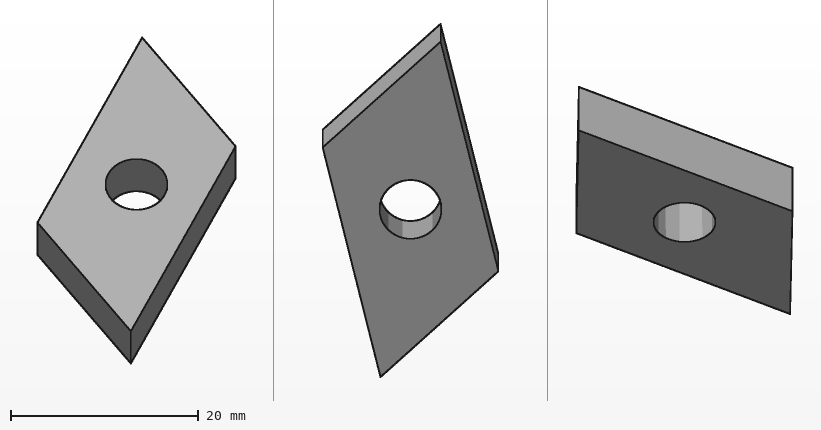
import cadquery as cq
import math

width = 15.0
slanted_spacing = 23.0
slant_angle = 30.0
thickness = 6.0
hole_diameter = 6.6

slant = math.radians(slant_angle)
side_length = slanted_spacing / math.cos(slant)
end_drop = width * math.tan(slant)
half_width = width / 2
half_length = (side_length + end_drop) / 2


def parallelogram_plate():
    """Plate centred on the Z axis, with both ends sloping down towards +X."""
    corners = [
        (-half_width, half_length),
        (half_width, half_length - end_drop),
        (half_width, -half_length),
        (-half_width, -half_length + end_drop),
    ]
    return cq.Workplane("XY").polyline(corners).close().extrude(thickness)


def centre_hole():
    """Cylinder that cuts the through hole at the plate centre."""
    return cq.Workplane("XY").circle(hole_diameter / 2).extrude(thickness)


result = parallelogram_plate().cut(centre_hole())